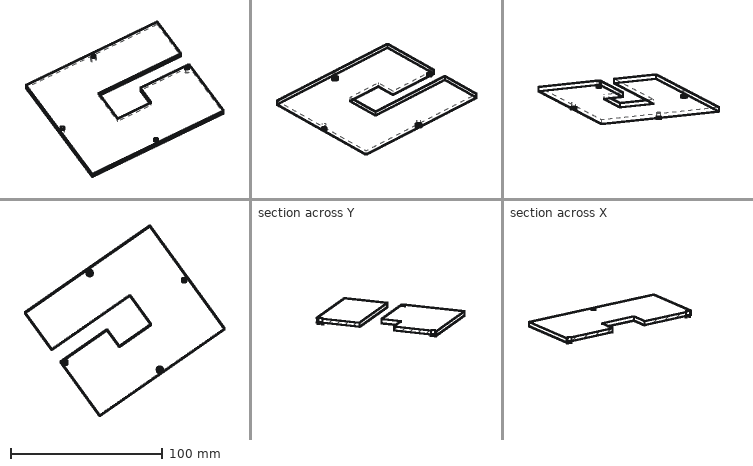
import cadquery as cq

width = 85.2
length = 101.2
total_height = 4.0
foot_height = 1.0
thickness = total_height - foot_height

slot_left = -12.1
slot_right = -1.8
pocket_right = 12.1
pocket_front = -12.8
pocket_back = 13.1

hole_diameter = 2.6
side_foot_diameter = 4.0
end_foot_diameter = 3.0
side_edge_distance = 2.6
end_edge_distance = 2.5
foot_x = width / 2 - side_edge_distance
foot_y = length / 2 - end_edge_distance
side_centers = [(-foot_x, 0), (foot_x, 0)]
end_centers = [(0, -foot_y), (0, foot_y)]


def box_between(left, right, front, back):
    """Block through the plate between the given sides."""
    return (
        cq.Workplane("XY")
        .box(right - left, back - front, thickness, centered=False)
        .translate((left, front, 0))
    )


def cylinders(centers, diameter, bottom, top):
    """Upright cylinders at the given centers."""
    return (
        cq.Workplane("XY")
        .workplane(offset=bottom)
        .pushPoints(centers)
        .circle(diameter / 2)
        .extrude(top - bottom)
    )


plate = box_between(-width / 2, width / 2, -length / 2, length / 2)
plate = plate.cut(box_between(slot_left, slot_right, pocket_front, length / 2))
plate = plate.cut(box_between(slot_left, pocket_right, pocket_front, pocket_back))

side_feet = cylinders(side_centers, side_foot_diameter, -foot_height, 0)
end_feet = cylinders(end_centers, end_foot_diameter, -foot_height, 0)
holes = cylinders(side_centers + end_centers, hole_diameter, -foot_height, thickness)

result = plate.union(side_feet).union(end_feet).cut(holes)